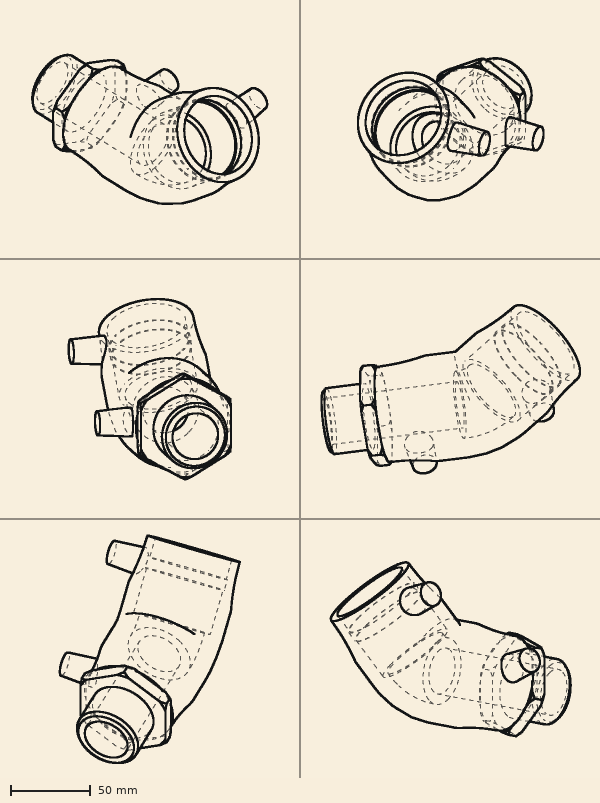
import cadquery as cq
import math

bend_angle = 45.0
arm_length = 60.7
bend_tangent = 10.0
taper_length = 31.0
body_diameter = 67.0
body_end_diameter = 60.4
bend_radius = bend_tangent / math.tan(math.radians(bend_angle / 2))

nut_sides = 6
nut_across_flats = 58.0
nut_thickness = 9.3
nut_chamfer = 2.0
spigot_diameter = 41.91
spigot_tip_diameter = 38.0
spigot_chamfer_length = 2.2
spigot_length = 26.7

passage_diameter = 42.5
inlet_bore_diameter = 29.34
socket_diameter = 50.0
socket_depth = 48.8
groove_diameter = 51.6
groove_start_depth = 12.8
groove_width = 7.0

tower_tip_y = 51.0
tower_tip_diameter = 15.4
tower_draft = 4.0
tower_distance = 43.9

nut_back = -arm_length
nut_front = nut_back - nut_thickness
spigot_tip = nut_front - spigot_length
stop_distance = arm_length - socket_depth


def on_outlet(shape):
    """Swing a shape lying along +X about the bend point onto the outlet axis."""
    return shape.rotate((0, 0, 0), (0, 1, 0), -bend_angle)


def on_inlet(shape):
    """Mirror a shape lying along +X onto the inlet arm along -X."""
    return shape.mirror("YZ")


def cylinder(start, end, diameter):
    """Cylinder along X between two stations."""
    return cq.Workplane("YZ", origin=(start, 0, 0)).circle(diameter / 2).extrude(end - start)


def arm():
    """Body arm along +X: a straight barrel, then a concave taper that ends parallel to the axis."""
    barrel_radius = body_diameter / 2
    end_radius = body_end_diameter / 2
    drop = barrel_radius - end_radius
    taper_start = arm_length - taper_length
    arc_radius = (taper_length**2 + drop**2) / (2 * drop)
    half_length = taper_length / 2
    half_sag = arc_radius - math.sqrt(arc_radius**2 - half_length**2)
    return (
        cq.Workplane("XZ")
        .moveTo(bend_tangent, 0)
        .lineTo(bend_tangent, barrel_radius)
        .lineTo(taper_start, barrel_radius)
        .threePointArc((arm_length - half_length, end_radius + half_sag), (arm_length, end_radius))
        .lineTo(arm_length, 0)
        .close()
        .revolve(360, (0, 0, 0), (1, 0, 0))
    )


def bend(diameter):
    """Round bar turned about an axis above the bend; any part beyond that axis is trimmed away."""
    radius = diameter / 2
    section = (
        cq.Sketch()
        .circle(radius)
        .push([(0, bend_radius + radius)])
        .rect(2 * diameter, diameter, mode="s")
    )
    return (
        cq.Workplane("YZ", origin=(-bend_tangent, 0, 0))
        .placeSketch(section)
        .revolve(bend_angle, (1, bend_radius, 0), (-1, bend_radius, 0))
    )


def nut():
    """Hexagon with corners on the Z axis, its corners turned to a chamfer at both faces."""
    corner_diameter = nut_across_flats / math.cos(math.pi / nut_sides)
    hexagon = (
        cq.Workplane("YZ", origin=(nut_front, 0, 0))
        .polygon(nut_sides, corner_diameter)
        .extrude(nut_thickness)
        .rotate((0, 0, 0), (1, 0, 0), 90)
    )
    envelope = cylinder(nut_front, nut_back, corner_diameter).edges().chamfer(nut_chamfer)
    return hexagon.intersect(envelope)


def spigot():
    """Male spigot with a chamfered tip."""
    radial_chamfer = (spigot_diameter - spigot_tip_diameter) / 2
    bar = cylinder(spigot_tip, nut_front, spigot_diameter)
    return bar.faces("<X").chamfer(spigot_chamfer_length, radial_chamfer)


def tower():
    """Drafted terminal tower standing on the +X arm and reaching down to the arm axis."""
    root_radius = tower_tip_diameter / 2 + tower_tip_y * math.tan(math.radians(tower_draft))
    cone = cq.Solid.makeCone(
        root_radius,
        tower_tip_diameter / 2,
        tower_tip_y,
        cq.Vector(tower_distance, 0, 0),
        cq.Vector(0, 1, 0),
    )
    return cq.Workplane(cone)


def cavity():
    """Inlet bore, bent passage and grooved outlet socket."""
    inlet = cylinder(spigot_tip, -stop_distance, inlet_bore_diameter)
    inlet_passage = cylinder(-stop_distance, -bend_tangent, passage_diameter)
    outlet_passage = cylinder(bend_tangent, stop_distance, passage_diameter)
    socket = cylinder(stop_distance, arm_length, socket_diameter)
    groove_end = arm_length - groove_start_depth
    groove = cylinder(groove_end - groove_width, groove_end, groove_diameter)
    outlet = outlet_passage.union(socket).union(groove)
    return inlet.union(inlet_passage).union(bend(passage_diameter)).union(on_outlet(outlet))


tapered_arm = arm().union(tower())
body = on_inlet(tapered_arm).union(on_outlet(tapered_arm)).union(bend(body_diameter))
result = body.union(nut()).union(spigot()).cut(cavity())